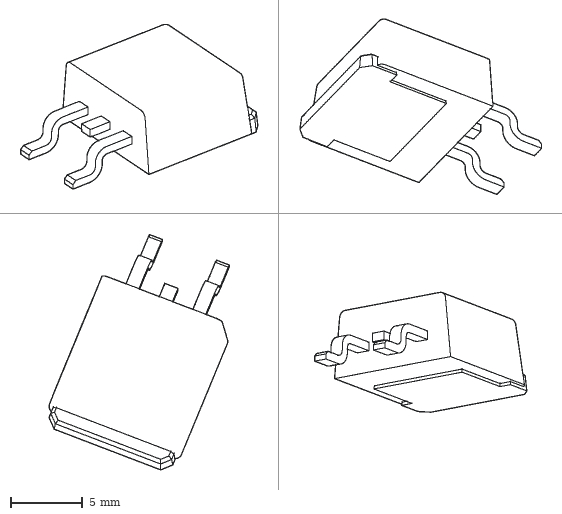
import cadquery as cq
import math


package_height = 5.08
package_width = 10.0
package_length = 15.62
draft_angle = 5.7

standoff = 0.23
housing_length = 9.35
housing_edge_radius = 0.5

lead_width = 0.98
stub_width = 1.0
lead_offset = 2.53
lead_thickness = 0.62
lead_top = 2.42
lead_bottom = lead_top - lead_thickness
lead_reach = 5.22
bend_start = 2.2
upper_bend_radius = 1.03
lower_bend_radius = 1.12
toe_chamfer = 0.25
stub_reach = 1.75

tab_back = package_length - lead_reach
tab_front = 3.11
tab_half_width = 4.69
tab_front_half_width = 3.8
tab_step = 7.73
tab_corner = 0.65
tab_height = 1.36
tab_chamfer = 0.25
chamfer_angle = 45.0


def make_tab():
    """Heat-sink plate with clipped back corners, a stepped narrower front, drafted sides and chamfered top."""
    right_side = [
        (tab_front_half_width, tab_front),
        (tab_front_half_width, tab_step),
        (tab_half_width, tab_step),
        (tab_half_width, tab_back - tab_corner),
        (tab_half_width - tab_corner, tab_back),
    ]
    left_side = [(-x, y) for x, y in reversed(right_side)]
    wall_height = tab_height - tab_chamfer
    outline = cq.Workplane("XY").polyline(right_side + left_side).close()
    wall = outline.extrude(wall_height, taper=draft_angle)
    rim = wall.faces(">Z").wires().toPending().workplane()
    return rim.extrude(tab_chamfer, taper=chamfer_angle)


def make_housing(tab):
    """Drafted block with an upright front face, rounded edges and a recess filled by the tab."""
    height = package_height - standoff
    draft = height * math.tan(math.radians(draft_angle))
    half_base = package_width / 2
    half_top = half_base - draft
    block = (
        cq.Workplane("XZ")
        .polyline([
            (-half_base, standoff),
            (half_base, standoff),
            (half_top, package_height),
            (-half_top, package_height),
        ])
        .close()
        .extrude(-housing_length)
    )
    behind_back_wall = (
        cq.Workplane("YZ")
        .polyline([
            (housing_length, standoff),
            (housing_length, package_height),
            (housing_length - draft, package_height),
        ])
        .close()
        .extrude(half_base, both=True)
    )
    block = block.cut(behind_back_wall)
    rounded = block.edges("not(<Y or <Z)")
    return rounded.fillet(housing_edge_radius).cut(tab)


def make_lead(x_center):
    """Gull-wing lead: straight run, bend down, bend out to a foot with a chamfered toe."""
    upper_inner_radius = upper_bend_radius - lead_thickness
    lower_inner_radius = lower_bend_radius - lead_thickness
    drop_outside = -bend_start - upper_bend_radius
    drop_inside = -bend_start - upper_inner_radius
    upper_center_z = lead_top - upper_bend_radius
    foot_start = drop_inside - lower_bend_radius
    diagonal = math.sqrt(0.5)

    def on_upper_bend(radius):
        return (-bend_start - radius * diagonal, upper_center_z + radius * diagonal)

    def on_lower_bend(radius):
        return (foot_start + radius * diagonal, lower_bend_radius - radius * diagonal)

    profile = (
        cq.Workplane("YZ", origin=(x_center, 0, 0))
        .moveTo(0, lead_top)
        .lineTo(-bend_start, lead_top)
        .threePointArc(on_upper_bend(upper_bend_radius), (drop_outside, upper_center_z))
        .lineTo(drop_outside, lower_bend_radius)
        .threePointArc(on_lower_bend(lower_inner_radius), (foot_start, lead_thickness))
        .lineTo(-lead_reach + toe_chamfer, lead_thickness)
        .lineTo(-lead_reach, lead_thickness - toe_chamfer)
        .lineTo(-lead_reach, 0)
        .lineTo(foot_start, 0)
        .threePointArc(on_lower_bend(lower_bend_radius), (drop_inside, lower_bend_radius))
        .lineTo(drop_inside, upper_center_z)
        .threePointArc(on_upper_bend(upper_inner_radius), (-bend_start, lead_bottom))
        .lineTo(0, lead_bottom)
        .close()
    )
    return profile.extrude(lead_width / 2, both=True)


def make_stub():
    """Cropped straight centre lead."""
    return cq.Workplane("XY", origin=(0, -stub_reach / 2, lead_bottom)).box(
        stub_width, stub_reach, lead_thickness, centered=(True, True, False)
    )


tab = make_tab()
housing = make_housing(tab)
leads = [make_lead(side * lead_offset) for side in (-1, 1)]
stub = make_stub()

result = cq.Compound.makeCompound([
    housing.val(),
    tab.val(),
    stub.val(),
    *[lead.val() for lead in leads],
])